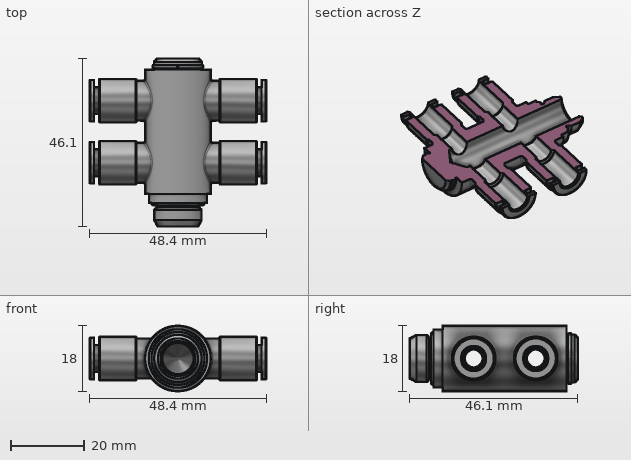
import cadquery as cq
import math


BODY_RADIUS = 9.0
BODY_LENGTH = 34.0
BODY_FRONT = -BODY_LENGTH / 2
BODY_REAR = BODY_LENGTH / 2

COLLAR_RADIUS = 8.0
COLLAR_LENGTH = 2.5
SEAL_TUBE_RADIUS = 0.85
SEAL_RADIUS = 6.45
SEAL_OFFSET = 2.35
SPIGOT_LENGTH = 9.0
RELIEF_RADIUS = 5.8
SPIGOT_RADIUS = 6.5
RELIEF_END = 3.7
RELIEF_CHAMFER = SPIGOT_RADIUS - RELIEF_RADIUS
TIP_RADIUS = 5.5
TIP_TAPER_LENGTH = 1.8

PLUG_LENGTH = 3.1
PLUG_RADIUS = 6.6
PLUG_CHAMFER = 0.95
PLUG_NECK_RADIUS = 6.45
PLUG_NECK_LENGTH = 1.0
RING_SECTION_RADIUS = 0.5
RING_OFFSET = 0.85
RING_GAP = 0.45

BORE_RADIUS = 4.3
BORE_CHAMFER = 0.5
DRILL_POINT_ANGLE = 118.0

PORT_SPACING = 17.0
PORT_REACH = 24.2
STEM_RADIUS = 5.5
SLEEVE_RADIUS = 6.0
SLEEVE_START = 11.4
SLEEVE_END = 21.6
SLEEVE_CHAMFER = 0.25
SLEEVE_ROOT_FILLET = SLEEVE_RADIUS - SLEEVE_CHAMFER - STEM_RADIUS
COLLET_NECK_RADIUS = 3.72
FLANGE_RADIUS = 5.72
FLANGE_THICKNESS = 1.25
FLANGE_CHAMFER = 0.2
STEM_FILLET = 0.5

TUBE_RADIUS = 3.05
TUBE_DEPTH = 12.0
TUBE_CHAMFER = 0.4
FLOW_RADIUS = 2.45

BORE_OVERRUN = 1.0
BORE_END = PORT_SPACING / 2 + FLOW_RADIUS + BORE_OVERRUN


def cylinder_x(radius, length):
    """Cylinder along X, centred on the origin."""
    return cq.Workplane("YZ").circle(radius).extrude(length / 2, both=True)


def revolve_about_y(points):
    """Solid of revolution about Y from (radius, y) points."""
    return cq.Workplane("XY").polyline(points).close().revolve(360, (0, 0, 0), (0, 1, 0))


def revolve_about_x(points):
    """Solid of revolution about X from (x, radius) points."""
    return cq.Workplane("XY").polyline(points).close().revolve(360, (0, 0, 0), (1, 0, 0))


def port_rows():
    """Y positions of the port axes."""
    return (-PORT_SPACING / 2, PORT_SPACING / 2)


def make_body_with_stems():
    """Body cylinder with the port stems blended into it."""
    body = cq.Workplane("XZ", origin=(0, BODY_REAR, 0)).circle(BODY_RADIUS).extrude(BODY_LENGTH)
    for y in port_rows():
        body = body.union(cylinder_x(STEM_RADIUS, 2 * SLEEVE_START).translate((0, y, 0)))
    root_limit = PORT_SPACING / 2 + STEM_RADIUS
    root_box = cq.selectors.BoxSelector(
        (-BODY_RADIUS, -root_limit, -BODY_RADIUS),
        (BODY_RADIUS, root_limit, BODY_RADIUS),
    )
    return body.edges(root_box).edges("not %LINE").fillet(STEM_FILLET)


def make_spigot():
    """Collar, thread relief and tapered spigot, with the seal ring under the collar."""
    collar_end = BODY_FRONT - COLLAR_LENGTH
    relief_end = BODY_FRONT - RELIEF_END
    tip = BODY_FRONT - SPIGOT_LENGTH
    spigot = revolve_about_y([
        (0, BODY_FRONT),
        (COLLAR_RADIUS, BODY_FRONT),
        (COLLAR_RADIUS, collar_end),
        (RELIEF_RADIUS, collar_end),
        (RELIEF_RADIUS, relief_end),
        (SPIGOT_RADIUS, relief_end - RELIEF_CHAMFER),
        (SPIGOT_RADIUS, tip + TIP_TAPER_LENGTH),
        (TIP_RADIUS, tip),
        (0, tip),
    ])
    seal_centre = cq.Vector(0, BODY_FRONT - SEAL_OFFSET, 0)
    seal = cq.Workplane(cq.Solid.makeTorus(SEAL_RADIUS, SEAL_TUBE_RADIUS, seal_centre, cq.Vector(0, 1, 0)))
    return spigot.union(seal)


def make_plug():
    """Necked and chamfered end plug carrying a half-round ring that is split on its +Z side."""
    end = BODY_REAR + PLUG_LENGTH
    plug = revolve_about_y([
        (0, BODY_REAR),
        (PLUG_NECK_RADIUS, BODY_REAR),
        (PLUG_NECK_RADIUS, BODY_REAR + PLUG_NECK_LENGTH),
        (PLUG_RADIUS, BODY_REAR + PLUG_NECK_LENGTH),
        (PLUG_RADIUS, end - PLUG_CHAMFER),
        (PLUG_RADIUS - PLUG_CHAMFER, end),
        (0, end),
    ])
    ring_y = BODY_REAR + RING_OFFSET
    ring_profile = (
        cq.Workplane("XY")
        .moveTo(PLUG_NECK_RADIUS, ring_y - RING_SECTION_RADIUS)
        .threePointArc(
            (PLUG_NECK_RADIUS + RING_SECTION_RADIUS, ring_y),
            (PLUG_NECK_RADIUS, ring_y + RING_SECTION_RADIUS),
        )
        .close()
    )
    ring = ring_profile.revolve(360, (0, 0, 0), (0, 1, 0))
    gap_size = 4 * RING_SECTION_RADIUS
    gap = cq.Workplane("XY").box(RING_GAP, gap_size, gap_size)
    return plug.union(ring.cut(gap.translate((0, ring_y, PLUG_NECK_RADIUS))))


def make_port_head():
    """Sleeve and flanged release collet of one +X port."""
    flange_start = PORT_REACH - FLANGE_THICKNESS
    fillet_start = SLEEVE_START - SLEEVE_ROOT_FILLET
    shoulder_radius = SLEEVE_RADIUS - SLEEVE_CHAMFER
    fillet_reach = SLEEVE_ROOT_FILLET * math.sqrt(0.5)
    fillet_middle = (fillet_start + fillet_reach, shoulder_radius - fillet_reach)
    profile = (
        cq.Workplane("XY")
        .moveTo(fillet_start, 0)
        .lineTo(fillet_start, STEM_RADIUS)
        .threePointArc(fillet_middle, (SLEEVE_START, shoulder_radius))
        .lineTo(SLEEVE_START + SLEEVE_CHAMFER, SLEEVE_RADIUS)
        .lineTo(SLEEVE_END - SLEEVE_CHAMFER, SLEEVE_RADIUS)
        .lineTo(SLEEVE_END, shoulder_radius)
        .lineTo(SLEEVE_END, COLLET_NECK_RADIUS)
        .lineTo(flange_start, COLLET_NECK_RADIUS)
        .lineTo(flange_start, FLANGE_RADIUS)
        .lineTo(PORT_REACH - FLANGE_CHAMFER, FLANGE_RADIUS)
        .lineTo(PORT_REACH, FLANGE_RADIUS - FLANGE_CHAMFER)
        .lineTo(PORT_REACH, 0)
        .close()
    )
    return profile.revolve(360, (0, 0, 0), (1, 0, 0))


def make_port_bore():
    """Stepped bore of one +X port, from the body axis to the mouth."""
    tube_stop = PORT_REACH - TUBE_DEPTH
    return revolve_about_x([
        (0, 0),
        (0, FLOW_RADIUS),
        (tube_stop - (TUBE_RADIUS - FLOW_RADIUS), FLOW_RADIUS),
        (tube_stop, TUBE_RADIUS),
        (PORT_REACH - TUBE_CHAMFER, TUBE_RADIUS),
        (PORT_REACH, TUBE_RADIUS + TUBE_CHAMFER),
        (PORT_REACH, 0),
    ])


def make_main_bore():
    """Chamfered blind bore along Y with a drill-point end beyond the last port row."""
    tip = BODY_FRONT - SPIGOT_LENGTH
    cone_depth = BORE_RADIUS / math.tan(math.radians(DRILL_POINT_ANGLE / 2))
    return revolve_about_y([
        (0, tip),
        (BORE_RADIUS + BORE_CHAMFER, tip),
        (BORE_RADIUS, tip + BORE_CHAMFER),
        (BORE_RADIUS, BORE_END),
        (0, BORE_END + cone_depth),
    ])


def at_each_port(shape):
    """Copies of a +X port shape at every port, on both sides."""
    mirrored = shape.mirror("YZ")
    return [side.translate((0, y, 0)) for y in port_rows() for side in (shape, mirrored)]


result = make_body_with_stems().union(make_spigot()).union(make_plug())
for head in at_each_port(make_port_head()):
    result = result.union(head)
result = result.cut(make_main_bore())
for bore in at_each_port(make_port_bore()):
    result = result.cut(bore)